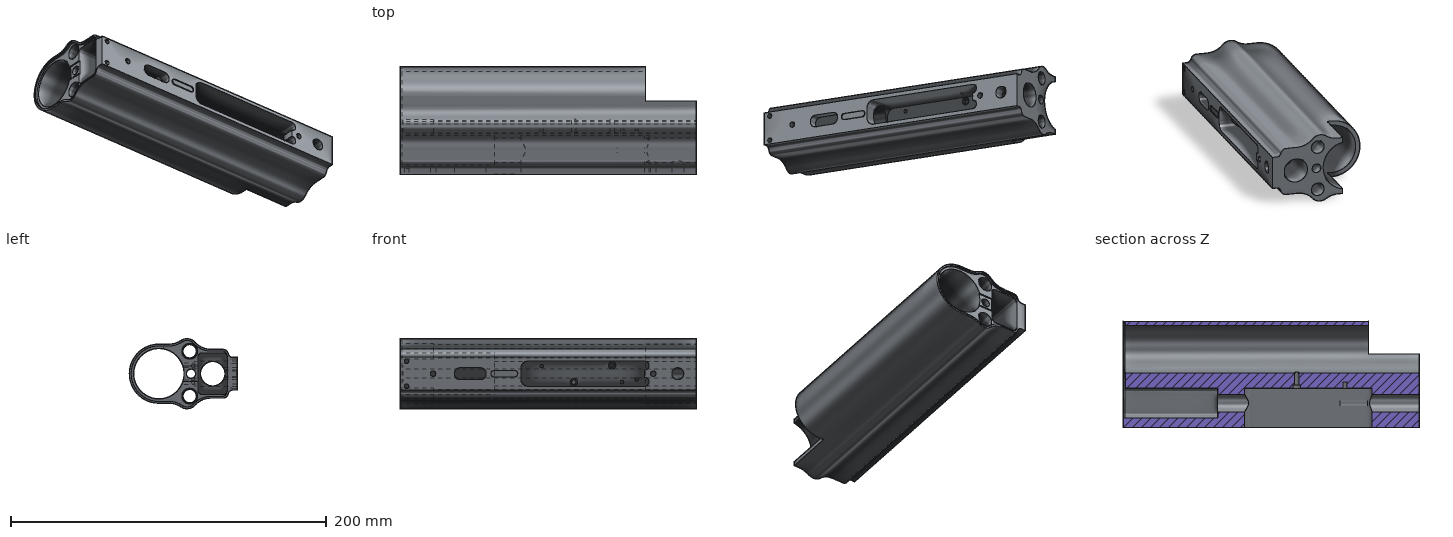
import cadquery as cq
import math

length = 187.83
overall_width = 68.45
overall_height = 44.57

back_radius = 18.8
front_y = back_radius - overall_width
flat_end_y = -6.5
crest_y = -17.8
crest_z = overall_height / 2
crest_radius = 6.7
waist_start_y = -33.1
waist_end_y = -40.5
waist_z = 15.5
shoulder_radius = 3.6
rail_start_y = -46.7
rail_z = 10.46

main_bore_dia = 31.8
rod_hole_y = -19.5
rod_hole_z = 14.2
rod_hole_dia = 8.38
rod_counterbore_dia = 9.98
rod_counterbore_depth = 20.0
web_hole_y = -20.35
web_hole_dia = 5.71
lower_bore_y = -34.1
lower_bore_dia = 15.42
chamber_dia = 16.28
chamber_length = 17.5

recess_wall = 1.2
recess_depth = 1.3
web_step_height = 9.6
web_step_depth = 0.7
box_back_y = -24.7
box_front_y = -43.4
box_height = 26.5
box_length = 60.0
box_corner_radius = 2.8

step_x = 155.7
step_y = -2.9

pocket_start_x = 76.5
pocket_end_x = 154.9
pocket_height = 16.0
pocket_corner_radius = 4.8
lobe_dia = 5.71
slot_start_x = 34.4
slot_end_x = 54.6
slot_height = 7.62
groove_start_x = 57.5
groove_end_x = 74.6
groove_height = 4.0
groove_depth = 0.6
pin_hole_x = 4.1
pin_hole_z = 7.92
pin_hole_dia = 2.85
pin_hole_depth = 4.0
box_screw_x = 20.9
box_screw_dia = 3.45
bore_screw_x = 160.5
bore_screw_dia = 3.45
port_x = 176.0
port_dia = 7.62

board_screws = [(110.1, -5.4), (134.4, 5.4)]
board_screw_dia = 2.77
board_counterbore_dia = 4.7
board_counterbore_depth = 2.0
board_pins = [(89.8, 4.8), (140.7, -5.35), (149.9, -3.7)]
board_pin_dia = 2.18
board_pin_depth = 4.0


def tangent_arcs(start, end, start_radius):
    """Two tangent arcs forming an S whose ends are both parallel to Y.

    The radius is given for the arc at the start and the other follows from the
    tangency. Returns [first mid, inflection, second mid, end].
    """
    run = end[0] - start[0]
    rise = end[1] - start[1]
    radius_sum = (run ** 2 + rise ** 2) / (2 * abs(rise))
    sweep = math.asin(abs(run) / radius_sum)

    def along(point, radius, angle, direction):
        dy = direction * math.copysign(radius * math.sin(angle), run)
        dz = direction * math.copysign(radius * (1 - math.cos(angle)), rise)
        return (point[0] + dy, point[1] + dz)

    end_radius = radius_sum - start_radius
    return [
        along(start, start_radius, sweep / 2, 1),
        along(start, start_radius, sweep, 1),
        along(end, end_radius, sweep / 2, -1),
        end,
    ]


def reverse_curve(start, curve):
    """The same S curve, run from its end back to its start."""
    return list(reversed([start] + curve[:-1]))


def mirror_below(curve):
    return [(y, -z) for y, z in curve]


def add_s_curve(sketch, points):
    first_mid, inflection, second_mid, end = points
    return sketch.threePointArc(first_mid, inflection).threePointArc(second_mid, end)


def outer_section():
    """Closed outline of the body, in the YZ plane."""
    flat_end = (flat_end_y, back_radius)
    crest = (crest_y, crest_z)
    waist_start = (waist_start_y, waist_z)
    waist_end = (waist_end_y, waist_z)
    rail_start = (rail_start_y, rail_z)
    from_crest_to_flat = tangent_arcs(crest, flat_end, crest_radius)
    to_crest = reverse_curve(crest, from_crest_to_flat)
    to_waist = tangent_arcs(crest, waist_start, crest_radius)
    to_rail = tangent_arcs(waist_end, rail_start, shoulder_radius)

    sketch = cq.Workplane("YZ").moveTo(0, back_radius).lineTo(*flat_end)
    sketch = add_s_curve(sketch, to_crest)
    sketch = add_s_curve(sketch, to_waist)
    sketch = sketch.lineTo(*waist_end)
    sketch = add_s_curve(sketch, to_rail)
    sketch = sketch.lineTo(front_y, rail_z).lineTo(front_y, -rail_z)
    sketch = sketch.lineTo(rail_start_y, -rail_z)
    sketch = add_s_curve(sketch, mirror_below(reverse_curve(waist_end, to_rail)))
    sketch = sketch.lineTo(waist_start_y, -waist_z)
    sketch = add_s_curve(sketch, mirror_below(reverse_curve(crest, to_waist)))
    sketch = add_s_curve(sketch, mirror_below(reverse_curve(flat_end, to_crest)))
    sketch = sketch.lineTo(0, -back_radius)
    return sketch.threePointArc((back_radius, 0), (0, back_radius)).close()


def block_between(x_range, y_range, height):
    """Block centred on Z = 0."""
    x_size = x_range[1] - x_range[0]
    y_size = y_range[1] - y_range[0]
    block = cq.Workplane("XY").box(x_size, y_size, height)
    return block.translate((sum(x_range) / 2, sum(y_range) / 2, 0))


def hole_along_x(y, z, dia, start_x, end_x):
    plane = cq.Workplane("YZ", origin=(start_x, y, z))
    return plane.circle(dia / 2).extrude(end_x - start_x)


def hole_along_y(x, z, dia, start_y, end_y):
    """Hole entering in the +Y direction."""
    plane = cq.Workplane("XZ", origin=(x, start_y, z))
    return plane.circle(dia / 2).extrude(start_y - end_y)


def round_slot(start_x, end_x, height, end_y):
    """Slot with round ends, cut from the front face to end_y."""
    plane = cq.Workplane("XZ", origin=((start_x + end_x) / 2, front_y, 0))
    return plane.slot2D(end_x - start_x, height).extrude(front_y - end_y)


def end_recess():
    """Shallow recess inside a thin lip around the X = 0 end."""
    recess = outer_section().offset2D(-recess_wall).extrude(recess_depth)
    behind_rail = block_between((0, recess_depth), (box_front_y, back_radius), overall_height)
    return recess.intersect(behind_rail)


def web_step():
    depth = recess_depth + web_step_depth
    return block_between((0, depth), (box_back_y, 0), web_step_height)


def box_cavity():
    cavity = block_between((0, box_length), (box_front_y, box_back_y), box_height)
    return cavity.edges("|X").fillet(box_corner_radius)


def bores():
    cuts = [
        hole_along_x(0, 0, main_bore_dia, 0, length),
        hole_along_x(web_hole_y, 0, web_hole_dia, 0, length),
        hole_along_x(lower_bore_y, 0, lower_bore_dia, 0, length),
        hole_along_x(lower_bore_y, 0, chamber_dia, pocket_end_x - chamber_length, pocket_end_x),
    ]
    counterbore_end = recess_depth + rod_counterbore_depth
    for z in (-rod_hole_z, rod_hole_z):
        cuts.append(hole_along_x(rod_hole_y, z, rod_hole_dia, 0, length))
        cuts.append(hole_along_x(rod_hole_y, z, rod_counterbore_dia, 0, counterbore_end))
    return cuts


def board_pocket():
    """Pocket with two round lobes that leave a tab at its far end."""
    pocket = block_between((pocket_start_x, pocket_end_x), (front_y, box_back_y), pocket_height)
    pocket = pocket.edges("|Y and <X").fillet(pocket_corner_radius)
    lobe_z = (pocket_height - lobe_dia) / 2
    for z in (-lobe_z, lobe_z):
        pocket = pocket.union(hole_along_y(pocket_end_x, z, lobe_dia, front_y, box_back_y))
    return pocket


def board_holes():
    cuts = []
    counterbore_end = box_back_y + board_counterbore_depth
    for x, z in board_screws:
        cuts.append(hole_along_y(x, z, board_screw_dia, box_back_y, 0))
        cuts.append(hole_along_y(x, z, board_counterbore_dia, box_back_y, counterbore_end))
    for x, z in board_pins:
        cuts.append(hole_along_y(x, z, board_pin_dia, box_back_y, box_back_y + board_pin_depth))
    return cuts


def front_openings():
    cuts = [
        round_slot(slot_start_x, slot_end_x, slot_height, lower_bore_y),
        round_slot(groove_start_x, groove_end_x, groove_height, front_y + groove_depth),
    ]
    for z in (-pin_hole_z, pin_hole_z):
        cuts.append(hole_along_y(pin_hole_x, z, pin_hole_dia, front_y, front_y + pin_hole_depth))
    for x, dia in ((box_screw_x, box_screw_dia), (bore_screw_x, bore_screw_dia), (port_x, port_dia)):
        cuts.append(hole_along_y(x, 0, dia, front_y, lower_bore_y))
    return cuts


def far_end_step():
    return block_between((step_x, length), (step_y, back_radius), overall_height)


result = outer_section().extrude(length)
features = [end_recess(), web_step(), box_cavity(), board_pocket(), far_end_step()]
for cut in features + bores() + board_holes() + front_openings():
    result = result.cut(cut)